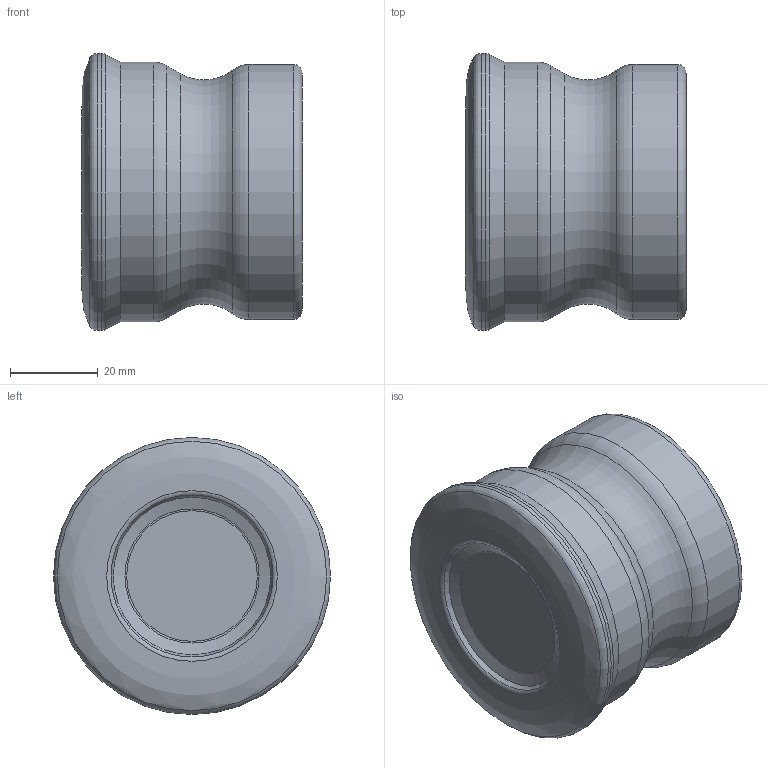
import cadquery as cq
import math


total_length = 50.05
cap_radius = 31.48

dome_height = 1.8
dome_middle = (0.36, 26.6)
dome_angle = math.radians(34)
rim_round = 2.0
rim_land = 0.9

back_round = 2.2
back_angle = math.radians(27)

recess_lip_radius = 19.4
recess_lip_round = 1.3
recess_lip_angle = math.radians(50)
recess_wall_end_radius = 17.9
recess_wall_end_x = 1.6
recess_depth = 2.6
recess_floor_radius = 14.85
recess_floor_round = 1.2

front_land_radius = 59.0 / 2
rear_land_radius = 58.0 / 2
rear_edge_round = 2.0

groove_x = 27.75
groove_floor_radius = 25.45
groove_round = 10.5
groove_blend = 6.0
groove_front_angle = math.radians(30)


def arc_point(center, radius, angle):
    """Point on an arc, with the angle measured from the radial direction toward +X."""
    return (
        center[0] + radius * math.sin(angle),
        center[1] + radius * math.cos(angle),
    )


def revolve_about_x(profile):
    return profile.close().revolve(360, (0, 0, 0), (1, 0, 0))


rim_start_x = dome_height + rim_round * math.cos(dome_angle)
rim_end_x = rim_start_x + rim_land
taper_start_x = rim_end_x + back_round * math.sin(back_angle)
taper_start_radius = cap_radius - back_round * (1 - math.cos(back_angle))
seat_x = taper_start_x + (taper_start_radius - front_land_radius) / math.tan(back_angle)


def make_cap():
    rim_center = (rim_start_x, cap_radius - rim_round)
    dome_end = arc_point(rim_center, rim_round, dome_angle - math.pi / 2)
    rim_middle = arc_point(rim_center, rim_round, (dome_angle - math.pi / 2) / 2)
    dome_end_direction = (math.sin(dome_angle), math.cos(dome_angle))

    back_center = (rim_end_x, cap_radius - back_round)
    back_middle = arc_point(back_center, back_round, back_angle / 2)

    lip_center = (recess_lip_round, recess_lip_radius)
    lip_middle = arc_point(lip_center, recess_lip_round, -math.pi / 2 - recess_lip_angle / 2)
    wall_start = arc_point(lip_center, recess_lip_round, -math.pi / 2 - recess_lip_angle)

    floor_center = (recess_depth - recess_floor_round, recess_floor_radius)
    wall_end_offset_x = recess_wall_end_x - floor_center[0]
    wall_end_offset_radius = recess_wall_end_radius - floor_center[1]
    wall_end_distance = math.hypot(wall_end_offset_x, wall_end_offset_radius)
    wall_end_bearing = math.atan2(wall_end_offset_radius, wall_end_offset_x)
    dish_angle = math.pi / 2 - wall_end_bearing + math.acos(recess_floor_round / wall_end_distance)
    floor_middle = arc_point(floor_center, recess_floor_round, (dish_angle + math.pi / 2) / 2)
    dish_start = arc_point(floor_center, recess_floor_round, dish_angle)

    profile = (
        cq.Workplane("XY")
        .moveTo(recess_depth, 0)
        .lineTo(recess_depth, recess_floor_radius)
        .threePointArc(floor_middle, dish_start)
        .lineTo(recess_wall_end_x, recess_wall_end_radius)
        .lineTo(*wall_start)
        .threePointArc(lip_middle, (0, recess_lip_radius))
        .spline([dome_middle, dome_end], tangents=[(0, 1), dome_end_direction], includeCurrent=True)
        .threePointArc(rim_middle, (rim_start_x, cap_radius))
        .lineTo(rim_end_x, cap_radius)
        .threePointArc(back_middle, (taper_start_x, taper_start_radius))
        .lineTo(seat_x, front_land_radius)
        .lineTo(seat_x, 0)
    )
    return revolve_about_x(profile)


def make_body():
    groove_center = (groove_x, groove_floor_radius + groove_round)

    groove_start = arc_point(groove_center, groove_round, math.pi + groove_front_angle)
    blend_drop = groove_blend * (1 - math.cos(groove_front_angle))
    front_blend_end_radius = front_land_radius - blend_drop
    taper_length = (front_blend_end_radius - groove_start[1]) / math.tan(groove_front_angle)
    front_blend_end = (groove_start[0] - taper_length, front_blend_end_radius)
    front_blend_x = front_blend_end[0] - groove_blend * math.sin(groove_front_angle)
    front_blend_center = (front_blend_x, front_land_radius - groove_blend)
    front_blend_middle = arc_point(front_blend_center, groove_blend, groove_front_angle / 2)

    rounds = groove_round + groove_blend
    groove_rear_angle = math.acos(1 - (rear_land_radius - groove_floor_radius) / rounds)
    groove_end = arc_point(groove_center, groove_round, math.pi - groove_rear_angle)
    rear_blend_x = groove_x + rounds * math.sin(groove_rear_angle)
    rear_blend_center = (rear_blend_x, rear_land_radius - groove_blend)
    rear_blend_middle = arc_point(rear_blend_center, groove_blend, -groove_rear_angle / 2)

    edge_center = (total_length - rear_edge_round, rear_land_radius - rear_edge_round)
    edge_middle = arc_point(edge_center, rear_edge_round, math.pi / 4)

    profile = (
        cq.Workplane("XY")
        .moveTo(seat_x, 0)
        .lineTo(seat_x, front_land_radius)
        .lineTo(front_blend_x, front_land_radius)
        .threePointArc(front_blend_middle, front_blend_end)
        .lineTo(*groove_start)
        .threePointArc((groove_x, groove_floor_radius), groove_end)
        .threePointArc(rear_blend_middle, (rear_blend_x, rear_land_radius))
        .lineTo(edge_center[0], rear_land_radius)
        .threePointArc(edge_middle, (total_length, edge_center[1]))
        .lineTo(total_length, 0)
    )
    return revolve_about_x(profile)


cap = make_cap()
body = make_body()

result = cq.Compound.makeCompound([cap.val(), body.val()])